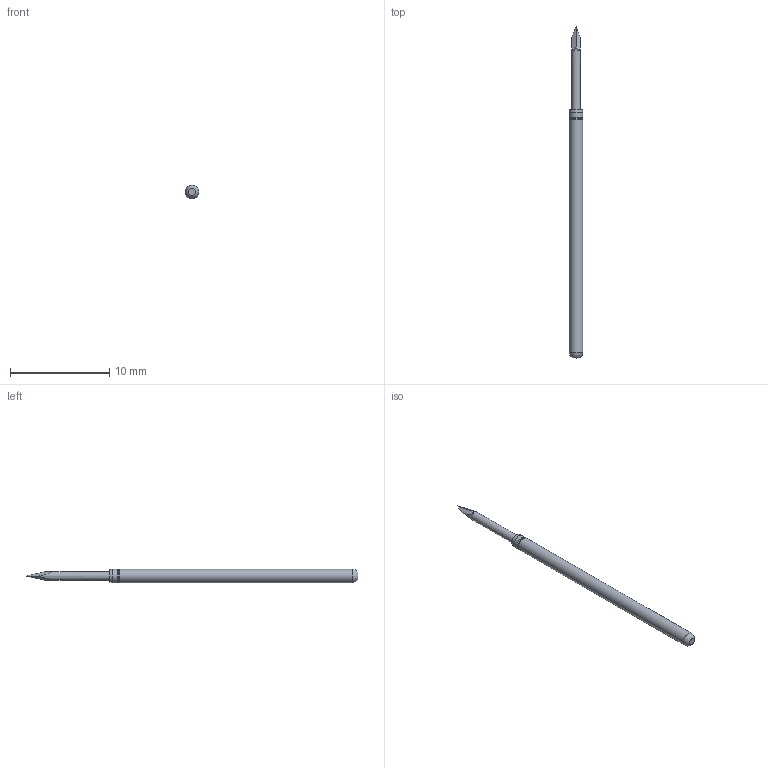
import cadquery as cq
import math

overall_length = 33.4
barrel_radius = 0.685
plunger_radius = 0.45
plunger_reach = 8.4

end_flat_radius = 0.36
end_round_length = 0.55

groove_start = 0.8
groove_width = 0.2
groove_depth = 0.05
lip_length = 0.35
lip_drop = 0.05

side_ridge_run = 1.3
top_ridge_run = 2.1
point_length = 3.0

tip_y = overall_length / 2
closed_end_y = -overall_length / 2
barrel_end_y = tip_y - plunger_reach


def tangent_round_midpoint(start_y, drop, reach):
    radius = (drop**2 + reach**2) / (2 * drop)
    half_sweep = math.asin(reach / radius) / 2
    return (
        barrel_radius - radius * (1 - math.cos(half_sweep)),
        start_y + radius * math.sin(half_sweep),
    )


def make_barrel():
    groove_front = barrel_end_y - groove_start
    groove_back = groove_front - groove_width
    round_start_y = closed_end_y + end_round_length
    lip_start_y = barrel_end_y - lip_length
    end_drop = barrel_radius - end_flat_radius
    end_round_mid = tangent_round_midpoint(round_start_y, end_drop, -end_round_length)
    lip_mid = tangent_round_midpoint(lip_start_y, lip_drop, lip_length)
    outline = (
        cq.Workplane("XY")
        .moveTo(0, closed_end_y)
        .lineTo(end_flat_radius, closed_end_y)
        .threePointArc(end_round_mid, (barrel_radius, round_start_y))
        .lineTo(barrel_radius, groove_back)
        .lineTo(barrel_radius - groove_depth, (groove_back + groove_front) / 2)
        .lineTo(barrel_radius, groove_front)
        .lineTo(barrel_radius, lip_start_y)
        .threePointArc(lip_mid, (barrel_radius - lip_drop, barrel_end_y))
        .lineTo(0, barrel_end_y)
    )
    return outline.close().revolve(360, (0, 0, 0), (0, 1, 0))


def make_point_envelope():
    half_width = plunger_radius * point_length / side_ridge_run
    half_height = plunger_radius * point_length / top_ridge_run
    base_y = tip_y - point_length
    corners = [
        cq.Vector(half_width, base_y, 0),
        cq.Vector(0, base_y, half_height),
        cq.Vector(-half_width, base_y, 0),
        cq.Vector(0, base_y, -half_height),
    ]
    apex = cq.Vector(0, tip_y, 0)
    faces = [cq.Face.makeFromWires(cq.Wire.makePolygon(corners, close=True))]
    for start, end in zip(corners, corners[1:] + corners[:1]):
        faces.append(cq.Face.makeFromWires(cq.Wire.makePolygon([start, end, apex], close=True)))
    return cq.Workplane(cq.Solid.makeSolid(cq.Shell.makeShell(faces)))


def make_plunger():
    shank_end_y = tip_y - point_length
    shank_length = shank_end_y - barrel_end_y
    shank = cq.Workplane("XZ", origin=(0, shank_end_y, 0)).circle(plunger_radius).extrude(shank_length)
    point_blank = cq.Workplane("XZ", origin=(0, tip_y, 0)).circle(plunger_radius).extrude(point_length)
    return shank.union(point_blank.intersect(make_point_envelope()))


result = make_barrel().union(make_plunger())